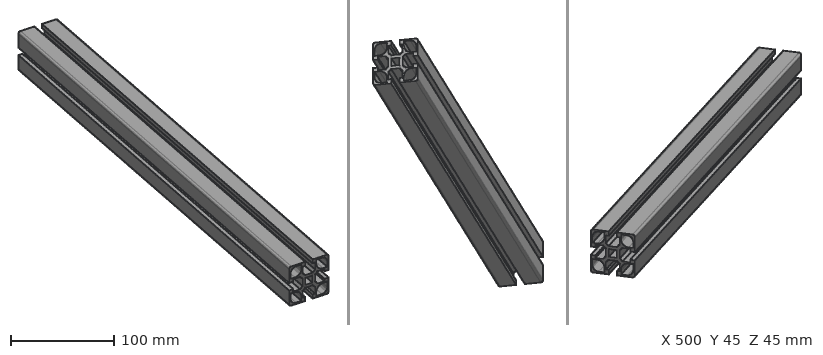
import cadquery as cq

length = 500.0
side = 45.0
half_side = side / 2
edge_radius = 2.5

slot_opening = 8.5
slot_width = 14.0
lip_thickness = 4.75
slot_corner_chamfer = 2.75

core_side = 14.5
core_hole = 8.0

outer_wall = 1.75
slot_wall = 1.5
cavity_near = slot_width / 2 + slot_wall
cavity_far = half_side - outer_wall
cavity_outer_radius = 6.0
cavity_web_radius = 7.5


def bar(width, height, y=0.0, z=0.0):
    """Full-length rectangular bar centred at (y, z)."""
    return cq.Workplane("YZ").center(y, z).rect(width, height).extrude(length / 2, both=True)


def slot():
    """Cutter for the T-slot in the +Z side."""
    chamber_top = half_side - lip_thickness
    chamber_floor = core_side / 2
    opening = bar(slot_opening, half_side - chamber_floor, z=(half_side + chamber_floor) / 2)
    chamber = bar(slot_width, chamber_top - chamber_floor, z=(chamber_top + chamber_floor) / 2)
    chamber = chamber.edges("|X and <Z").chamfer(slot_corner_chamfer)
    return opening.union(chamber)


def corner_cavity():
    """Cutter for the hollow in the +Y +Z corner, with its largest rounding next to the core."""
    size = cavity_far - cavity_near
    centre = (cavity_far + cavity_near) / 2
    cavity = bar(size, size, centre, centre)
    cavity = cavity.edges("|X and >Y and >Z").fillet(cavity_outer_radius)
    return cavity.edges("|X and <Y and <Z").fillet(cavity_web_radius)


result = bar(side, side).edges("|X").fillet(edge_radius)
result = result.cut(bar(core_hole, core_hole))

for cutter in (slot(), corner_cavity()):
    for quarter in range(4):
        result = result.cut(cutter.rotate((0, 0, 0), (1, 0, 0), 90 * quarter))